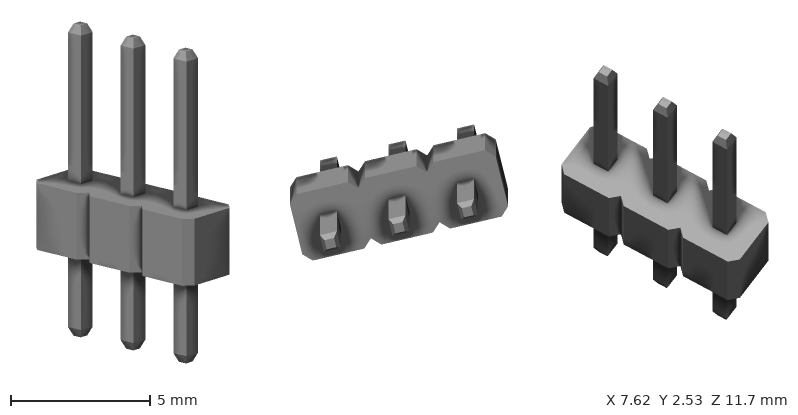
import cadquery as cq

pin_count = 3
total_height = 11.68
housing_length = 7.62
pitch = housing_length / pin_count
housing_depth = 2.53
housing_height = 2.5
corner_chamfer = 0.32

pin_width = 0.63
tip_width = 0.35
tip_length = 0.33
lower_pin_length = 3.29
upper_pin_length = total_height - housing_height - lower_pin_length

pin_positions = [(i - (pin_count - 1) / 2) * pitch for i in range(pin_count)]


def make_housing():
    """One solid block; neighbouring chamfered cells leave V notches between them."""
    housing = cq.Workplane("XY")
    for x in pin_positions:
        cell = (
            cq.Workplane("XY")
            .box(pitch, housing_depth, housing_height, centered=(True, True, False))
            .edges("|Z")
            .chamfer(corner_chamfer)
            .translate((x, 0, 0))
        )
        housing = housing.union(cell)
    return housing.clean()


def make_pin(length):
    """Square pin rising from the origin, with a tapered tip at its upper end."""
    shank_length = length - tip_length
    shank = cq.Workplane("XY").rect(pin_width, pin_width).extrude(shank_length)
    tip = (
        cq.Workplane("XY", origin=(0, 0, shank_length))
        .rect(pin_width, pin_width)
        .workplane(offset=tip_length)
        .rect(tip_width, tip_width)
        .loft(ruled=True)
    )
    return shank.union(tip)


housing = make_housing()

upper_pins = []
lower_pins = []
for x in pin_positions:
    upper_pin = make_pin(upper_pin_length).translate((x, 0, housing_height))
    upper_pins.append(upper_pin.val())

    lower_pin = make_pin(lower_pin_length).mirror("XY").translate((x, 0, 0))
    lower_pins.append(lower_pin.val())

result = cq.Compound.makeCompound([housing.val(), *upper_pins, *lower_pins])